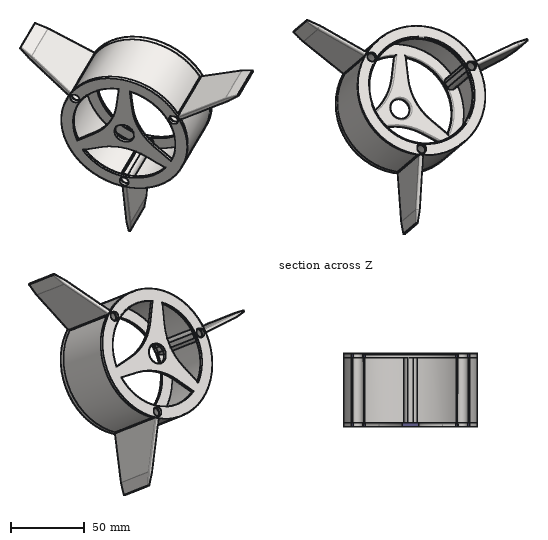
import cadquery as cq
import math

outer_radius = 45.5
wall = 0.5
length = 50.0
front_plate = 3.0
back_plate = 2.8
opening_radius = 74.0 / 2
plate_edge_fillet = 1.0

hub_hole_diameter = 14.0
hub_flat_radius = 12.5
spoke_arc_radius = 40.0
spoke_tip_half_width = 4.0

hinge_radius = 41.1
hinge_hole_diameter = 6.5
boss_diameter = 9.0
boss_bore_diameter = 7.1

blade_tip_radius = 90.9
blade_taper_length = 9.2
blade_thickness = 3.2
blade_tip_thickness = 1.3
blade_root_width = 49.6
blade_tip_width = 29.4
blade_edge_fillet = 0.5

count = 3
cavity_radius = outer_radius - wall
front_y = -length / 2
back_y = length / 2
cavity_front = front_y + front_plate
cavity_back = back_y - back_plate
blade_root_radius = hinge_radius + hinge_hole_diameter / 2


def cylinder(radius, y_start, y_end, z=0):
    """Cylinder along Y between two Y positions, at height z."""
    plane = cq.Workplane("XZ", origin=(0, y_start, z))
    return plane.circle(radius).extrude(y_start - y_end)


def ring_copies(shape):
    """Copies of a shape spaced evenly around the Y axis."""
    step = 360 / count
    return [shape.rotate((0, 0, 0), (0, 1, 0), i * step) for i in range(count)]


def window():
    """Lowest opening between two spokes: a hub arc with tangent lines out to the opening circle."""
    corner_angle = math.radians(30) + math.asin(spoke_tip_half_width / opening_radius)
    corner_x = opening_radius * math.cos(corner_angle)
    corner_z = -opening_radius * math.sin(corner_angle)
    arc_center_z = -hub_flat_radius - spoke_arc_radius
    rise = corner_z - arc_center_z
    corner_distance = math.hypot(corner_x, rise)
    tangent_angle = math.atan2(corner_x, rise) - math.acos(spoke_arc_radius / corner_distance)
    tangent_x = spoke_arc_radius * math.sin(tangent_angle)
    tangent_z = arc_center_z + spoke_arc_radius * math.cos(tangent_angle)
    return (
        cq.Workplane("XZ", origin=(0, front_y, 0))
        .moveTo(-corner_x, corner_z)
        .lineTo(-tangent_x, tangent_z)
        .threePointArc((0, -hub_flat_radius), (tangent_x, tangent_z))
        .lineTo(corner_x, corner_z)
        .threePointArc((0, -opening_radius), (-corner_x, corner_z))
        .close()
        .extrude(-front_plate)
    )


def edges_within(radius, y):
    """Selector for edges in the plane at y that lie inside a square of this half width."""
    gap = 0.02
    return cq.selectors.BoxSelector(
        (-radius, y - gap, -radius), (radius, y + gap, radius), boundingbox=True)


def drum():
    """Thin shell, spoked at the front and open at the back; openings are rounded on the +Y side."""
    body = cylinder(outer_radius, front_y, back_y)
    body = body.cut(cylinder(cavity_radius, cavity_front, cavity_back))
    body = body.cut(cylinder(opening_radius, cavity_back, back_y))
    body = body.cut(cylinder(hub_hole_diameter / 2, front_y, cavity_front))
    for opening in ring_copies(window()):
        body = body.cut(opening)
    for y in (cavity_front, back_y):
        body = body.edges(edges_within(opening_radius + 0.8, y)).fillet(plate_edge_fillet)
    return body


def boss():
    """Lowest hinge boss, trimmed flush with the drum and the opening."""
    tube = cylinder(boss_diameter / 2, cavity_front, cavity_back, -hinge_radius)
    tube = tube.intersect(cylinder(outer_radius, front_y, back_y))
    return tube.cut(cylinder(opening_radius, front_y, back_y))


def hinge_bore():
    """Lowest hinge hole: narrow through both plates, wider along the boss."""
    bore = cylinder(hinge_hole_diameter / 2, front_y, back_y, -hinge_radius)
    return bore.union(cylinder(boss_bore_diameter / 2, cavity_front, cavity_back, -hinge_radius))


def blade():
    """Lowest blade: a tapered plate, filleted on its -Y side and fully rounded on its +Y side."""
    span = blade_tip_radius - blade_root_radius
    taper_radius = blade_tip_radius - blade_taper_length
    half = blade_thickness / 2
    tip_half = blade_tip_thickness / 2
    profile = (
        cq.Workplane("XZ", origin=(0, front_y, 0))
        .polyline([
            (-half, -blade_root_radius),
            (half, -blade_root_radius),
            (half, -taper_radius),
            (tip_half, -blade_tip_radius),
            (-tip_half, -blade_tip_radius),
            (-half, -taper_radius),
        ])
        .close()
        .extrude(-length)
    )

    root_axis_y = blade_root_width / 2 - half
    tip_axis_y = blade_tip_width / 2 - tip_half
    outline = (
        cq.Workplane("YZ")
        .polyline([
            (-blade_root_width / 2, -blade_root_radius),
            (root_axis_y, -blade_root_radius),
            (tip_axis_y, -blade_tip_radius),
            (-blade_tip_width / 2, -blade_tip_radius),
        ])
        .close()
        .extrude(half, both=True)
    )
    plate = profile.intersect(outline)
    front_side = cq.selectors.BoxSelector(
        (-length, -length, -blade_tip_radius), (length, -blade_tip_width / 2, 0))
    long_edges = front_side - cq.selectors.ParallelDirSelector(cq.Vector(1, 0, 0))
    plate = plate.edges(long_edges).fillet(blade_edge_fillet)

    axis_length = math.hypot(root_axis_y - tip_axis_y, span)
    taper_start = axis_length * (1 - blade_taper_length / span)
    axis_plane = cq.Plane(
        origin=(0, root_axis_y, -blade_root_radius),
        xDir=(1, 0, 0),
        normal=(0, -span, root_axis_y - tip_axis_y),
    )
    rounded_edge = (
        cq.Workplane(axis_plane)
        .polyline([
            (0, 0),
            (half, 0),
            (half, -taper_start),
            (tip_half, -axis_length),
            (0, -axis_length),
        ])
        .close()
        .revolve(360, (0, 0), (0, 1))
    )
    blade_zone = (
        cq.Workplane("XY", origin=(0, 0, -blade_tip_radius))
        .rect(length, length)
        .extrude(span)
    )
    return plate.union(rounded_edge.intersect(blade_zone))


result = drum()
for part in ring_copies(boss()) + ring_copies(blade()):
    result = result.union(part)
for hole in ring_copies(hinge_bore()):
    result = result.cut(hole)